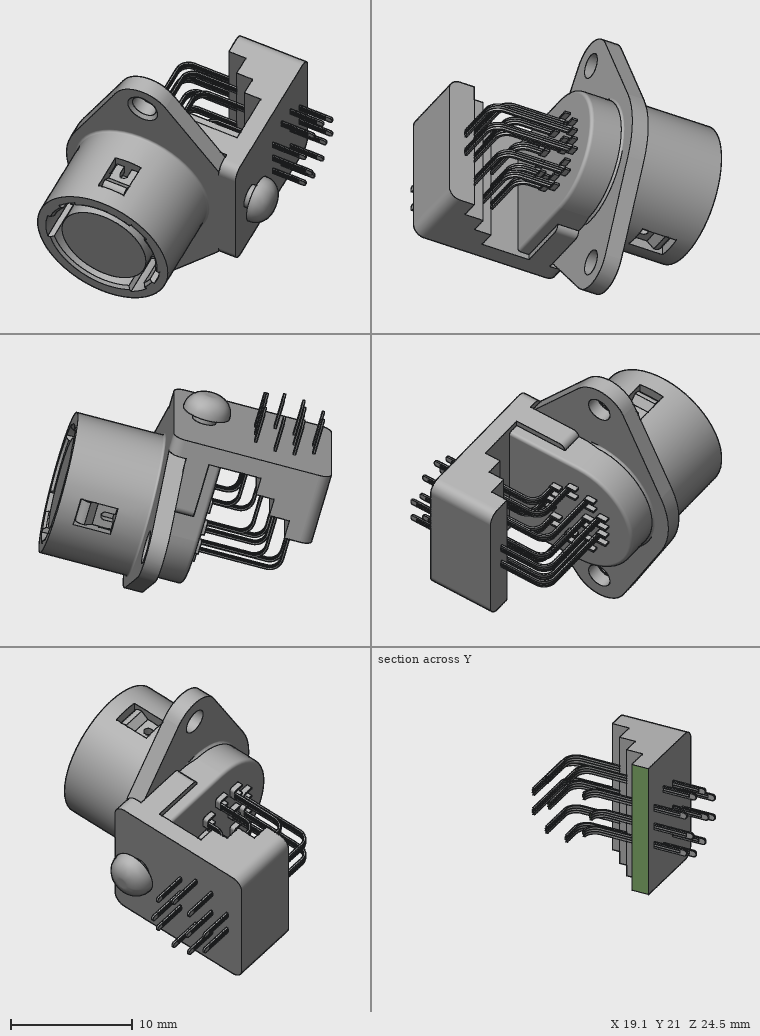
import cadquery as cq
import math


FLANGE_THICKNESS = 1.5
FLANGE_SIDE_RADIUS = 7.0
FLANGE_HALF_HEIGHT = 12.25
LOBE_RADIUS = 2.75
LOBE_CENTER_Z = FLANGE_HALF_HEIGHT - LOBE_RADIUS
MOUNT_HOLE_Z = 10.0
MOUNT_HOLE_RADIUS = 1.08
COUNTERSINK_RADIUS = 1.37

SHELL_RADIUS = 5.98
SHELL_LENGTH = 7.5
ROOT_FILLET = 0.2
BORE_RADIUS = 5.0
LIP_RADIUS = 4.75
LIP_CHAMFER = BORE_RADIUS - LIP_RADIUS
LIP_LENGTH = 3.8
PLUG_RADIUS = 3.85
PLUG_RECESS = 0.25

KEYWAY_RADIUS = 5.22
DIAGONAL_KEYWAY_WIDTH = 1.81
DIAGONAL_KEYWAY_ANGLES = (50, 130, -50)
SIDE_KEYWAY_WIDTH = 1.72
SIDE_KEYWAY_OFFSET = -1.3
MAIN_KEYWAY_WIDTH = 2.75

WINDOW_WIDTH = 2.33
WINDOW_FRONT_Y = -5.9
WINDOW_BACK_Y = -2.72
BORE_FLOOR_Y = WINDOW_BACK_Y
TONGUE_WIDTH = 2.0
TONGUE_FRONT_Y = -5.78
TONGUE_INNER_Z = 4.3
TONGUE_OUTER_Z = 5.12
RIDGE_TOP_Z = 5.68
RIDGE_TOP_Y = -5.0
RIDGE_BACK_Y = -4.34
TONGUE_SLOT_WIDTH = 0.69
TONGUE_SLOT_END_Y = -3.85

BODY_RADIUS = 5.5
BODY_BACK_Y = 4.5
BODY_BACK_FILLET = 0.3

BRACKET_HALF_HEIGHT = 6.0
BRACKET_INNER_X = 6.95
BRACKET_OUTER_X = 8.5
BRACKET_BACK_Y = 13.5
BRACKET_CORNER_RADIUS = 1.0
STEPS = ((5.46, 7.9), (4.0, 9.43), (2.43, 11.15))
FLANGE_CORNER_Z = 5.45
ARM_START_X = 2.05
ARM_BACK_Y = 3.45
ARM_CORNER_RADIUS = 0.6

SCREW_Y = 2.6
SCREW_SHANK_RADIUS = 1.0
SCREW_HEAD_RADIUS = 1.98
SCREW_HEAD_X = 9.2
SCREW_HEAD_HEIGHT = 1.55
SCREW_DOME_RADIUS = 1.47

CONTACT_CIRCLE_RADIUS = 2.75
CONTACT_COUNT = 9
ROW_BY_STEP = (0, 0, 1, 2, 3)
CENTER_CONTACT_X = -1.13
CENTER_CONTACT_ROW = 2
PIN_OFFSET_X = 0.4
ROW_COUNT = 4
FIRST_ROW_Y = 6.98
LAST_ROW_Y = 11.95
ROW_PITCH = (LAST_ROW_Y - FIRST_ROW_Y) / (ROW_COUNT - 1)
PIN_WIDTH = 0.65
TAIL_WIDTH = 0.55
PIN_THICKNESS = 0.17
PIN_BEND_RADIUS = 1.05
TAIL_CORNER_RADIUS = 0.22
RIB_WIDTH = 0.22
RIB_HEIGHT = 0.05
RIB_END_GAP = 0.61
TAIL_END_X = 11.55
CENTER_TAIL_END_X = 11.8
LONG_TAIL_END_X = 12.15
CUP_LENGTH = 1.03
CUP_WIDTH = 1.15
CUP_HEIGHT = 0.5
CUP_WALL = 0.17
CUP_CORNER_RADIUS = 0.25


def disc(radius, y_start, y_end, z=0):
    """Cylinder along Y between two y positions."""
    base = cq.Workplane("XZ", origin=(0, y_start, z))
    return base.circle(radius).extrude(y_start - y_end)


def cone(start_radius, end_radius, y_start, length, z=0):
    """Truncated cone along +Y."""
    start = cq.Vector(0, y_start, z)
    solid = cq.Solid.makeCone(start_radius, end_radius, length, start, cq.Vector(0, 1, 0))
    return cq.Workplane(solid)


def block(x_range, y_range, z_range):
    """Box spanning the given ranges."""
    size = [high - low for low, high in (x_range, y_range, z_range)]
    corner = (x_range[0], y_range[0], z_range[0])
    return cq.Workplane("XY").box(*size, centered=False).translate(corner)


def tangent_points():
    """Upper tangent points: side arc and lobe on -X, then lobe on +X."""
    normal_z = (FLANGE_SIDE_RADIUS - LOBE_RADIUS) / LOBE_CENTER_Z
    normal_x = math.sqrt(1 - normal_z ** 2)
    side = (-FLANGE_SIDE_RADIUS * normal_x, FLANGE_SIDE_RADIUS * normal_z)
    lobe_left = (-LOBE_RADIUS * normal_x, LOBE_CENTER_Z + LOBE_RADIUS * normal_z)

    drop = FLANGE_CORNER_Z - LOBE_CENTER_Z
    distance = math.hypot(BRACKET_INNER_X, drop)
    angle = math.atan2(drop, BRACKET_INNER_X) + math.acos(LOBE_RADIUS / distance)
    lobe_right = (LOBE_RADIUS * math.cos(angle), LOBE_CENTER_Z + LOBE_RADIUS * math.sin(angle))
    return side, lobe_left, lobe_right


def mirrored(point):
    """Point reflected across z = 0."""
    return (point[0], -point[1])


def make_flange():
    side, lobe_left, lobe_right = tangent_points()
    corner = (BRACKET_INNER_X, FLANGE_CORNER_Z)
    outline = (
        cq.Workplane("XZ")
        .moveTo(*side)
        .lineTo(*lobe_left)
        .threePointArc((0, FLANGE_HALF_HEIGHT), lobe_right)
        .lineTo(*corner)
        .lineTo(*mirrored(corner))
        .lineTo(*mirrored(lobe_right))
        .threePointArc((0, -FLANGE_HALF_HEIGHT), mirrored(lobe_left))
        .lineTo(*mirrored(side))
        .threePointArc((-FLANGE_SIDE_RADIUS, 0), side)
        .close()
    )
    return outline.extrude(-FLANGE_THICKNESS)


def drill_mount_holes(part):
    depth = COUNTERSINK_RADIUS - MOUNT_HOLE_RADIUS
    for z in (MOUNT_HOLE_Z, -MOUNT_HOLE_Z):
        hole = disc(MOUNT_HOLE_RADIUS, 0, FLANGE_THICKNESS, z)
        part = part.cut(hole).cut(cone(COUNTERSINK_RADIUS, MOUNT_HOLE_RADIUS, 0, depth, z))
    return part


def make_rear_body():
    """D-shaped body: round on -X, straight towards the bracket on +X."""
    body = (
        cq.Workplane("XZ", origin=(0, FLANGE_THICKNESS, 0))
        .moveTo(BRACKET_INNER_X, BODY_RADIUS)
        .lineTo(0, BODY_RADIUS)
        .threePointArc((-BODY_RADIUS, 0), (0, -BODY_RADIUS))
        .lineTo(BRACKET_INNER_X, -BODY_RADIUS)
        .close()
        .extrude(FLANGE_THICKNESS - BODY_BACK_Y)
    )
    return body.faces(">Y").edges("not >X").fillet(BODY_BACK_FILLET)


def root_ring(radius, face_y, direction):
    """Concave fillet ring where a cylinder along Y meets a flange face."""
    return (
        cq.Workplane("XY")
        .moveTo(radius - ROOT_FILLET, face_y)
        .lineTo(radius + ROOT_FILLET, face_y)
        .radiusArc((radius, face_y + direction * ROOT_FILLET), direction * ROOT_FILLET)
        .lineTo(radius - ROOT_FILLET, face_y + direction * ROOT_FILLET)
        .close()
        .revolve(360, (0, 0, 0), (0, 1, 0))
    )


def keyway(angle, width, y_back, offset=0):
    """Straight-sided keyway with a round bottom, cut from the shell front."""
    slot = block(
        (0, SHELL_RADIUS), (-SHELL_LENGTH, y_back), (offset - width / 2, offset + width / 2)
    ).rotate((0, 0, 0), (0, 1, 0), -angle)
    return slot.intersect(disc(KEYWAY_RADIUS, -SHELL_LENGTH, y_back))


def bore_shell(part):
    lip_back_y = LIP_LENGTH - SHELL_LENGTH
    part = part.cut(disc(BORE_RADIUS, lip_back_y, BORE_FLOOR_Y))
    lip_bore = disc(LIP_RADIUS, -SHELL_LENGTH, lip_back_y)
    mouth = cone(BORE_RADIUS, LIP_RADIUS, -SHELL_LENGTH, LIP_CHAMFER)
    part = part.cut(lip_bore).cut(mouth)
    for angle in DIAGONAL_KEYWAY_ANGLES:
        part = part.cut(keyway(angle, DIAGONAL_KEYWAY_WIDTH, lip_back_y))
    part = part.cut(keyway(0, SIDE_KEYWAY_WIDTH, lip_back_y, SIDE_KEYWAY_OFFSET))
    part = part.cut(keyway(180, MAIN_KEYWAY_WIDTH, BORE_FLOOR_Y))
    return part.union(disc(PLUG_RADIUS, PLUG_RECESS - SHELL_LENGTH, BORE_FLOOR_Y))


def make_latch():
    """Spring tongue with a raised ridge and a round-ended slot at its root."""
    tongue = (
        cq.Workplane("YZ", origin=(-TONGUE_WIDTH / 2, 0, 0))
        .moveTo(BORE_FLOOR_Y, TONGUE_INNER_Z)
        .lineTo(BORE_FLOOR_Y, TONGUE_OUTER_Z)
        .lineTo(RIDGE_BACK_Y, TONGUE_OUTER_Z)
        .lineTo(RIDGE_TOP_Y, RIDGE_TOP_Z)
        .radiusArc((TONGUE_FRONT_Y, TONGUE_OUTER_Z), -(RIDGE_TOP_Y - TONGUE_FRONT_Y))
        .radiusArc(
            (TONGUE_FRONT_Y + TONGUE_OUTER_Z - TONGUE_INNER_Z, TONGUE_INNER_Z),
            TONGUE_INNER_Z - TONGUE_OUTER_Z,
        )
        .close()
        .extrude(TONGUE_WIDTH)
    )
    slot_end_center_y = TONGUE_SLOT_END_Y + TONGUE_SLOT_WIDTH / 2
    slot_round = (
        cq.Workplane("XY", origin=(0, slot_end_center_y, TONGUE_INNER_Z))
        .circle(TONGUE_SLOT_WIDTH / 2)
        .extrude(TONGUE_OUTER_Z - TONGUE_INNER_Z)
    )
    slot_straight = block(
        (-TONGUE_SLOT_WIDTH / 2, TONGUE_SLOT_WIDTH / 2),
        (slot_end_center_y, BORE_FLOOR_Y),
        (TONGUE_INNER_Z, TONGUE_OUTER_Z),
    )
    return tongue.cut(slot_round).cut(slot_straight)


def add_latches(part):
    window = block(
        (-WINDOW_WIDTH / 2, WINDOW_WIDTH / 2),
        (WINDOW_FRONT_Y, WINDOW_BACK_Y),
        (TONGUE_INNER_Z, SHELL_RADIUS),
    )
    latch = make_latch()
    for turn in (0, 180):
        part = part.cut(window.rotate((0, 0, 0), (0, 1, 0), turn))
        part = part.union(latch.rotate((0, 0, 0), (0, 1, 0), turn))
    return part


def make_bracket():
    full_height = (-BRACKET_HALF_HEIGHT, BRACKET_HALF_HEIGHT)
    bracket = block((BRACKET_INNER_X, BRACKET_OUTER_X), (0, BRACKET_BACK_Y), full_height)
    for face_x, start_y in STEPS:
        bracket = bracket.union(block((face_x, BRACKET_OUTER_X), (start_y, BRACKET_BACK_Y), full_height))
    bracket = bracket.edges("|X and (>Y or <Y)").edges(">Z or <Z").fillet(BRACKET_CORNER_RADIUS)
    arm = block((ARM_START_X, BRACKET_OUTER_X), (FLANGE_THICKNESS, ARM_BACK_Y), full_height)
    arm = arm.edges("|Y and <X").fillet(ARM_CORNER_RADIUS)
    return bracket.union(arm)


def make_screw():
    shank = (
        cq.Workplane("YZ", origin=(BRACKET_OUTER_X, SCREW_Y, 0))
        .circle(SCREW_SHANK_RADIUS)
        .extrude(SCREW_HEAD_X - BRACKET_OUTER_X)
    )
    head = (
        cq.Workplane("YZ", origin=(SCREW_HEAD_X, SCREW_Y, 0))
        .circle(SCREW_HEAD_RADIUS)
        .extrude(SCREW_HEAD_HEIGHT)
        .faces(">X")
        .edges()
        .fillet(SCREW_DOME_RADIUS)
    )
    return shank.union(head)


def bent_strip(leg_x, row_y, end_x, z, width, inner, outer):
    """L-shaped strip; inner and outer are offsets from the middle of the pin's thickness."""
    bend_x = leg_x + PIN_BEND_RADIUS
    bend_y = row_y - PIN_BEND_RADIUS
    inner_radius = PIN_BEND_RADIUS + inner
    outer_radius = PIN_BEND_RADIUS + outer
    return (
        cq.Workplane("XY", origin=(0, 0, z - width / 2))
        .moveTo(leg_x - outer, BODY_BACK_Y)
        .lineTo(leg_x - outer, bend_y)
        .radiusArc((bend_x, row_y + outer), outer_radius)
        .lineTo(end_x, row_y + outer)
        .lineTo(end_x, row_y + inner)
        .lineTo(bend_x, row_y + inner)
        .radiusArc((leg_x - inner, bend_y), -inner_radius)
        .lineTo(leg_x - inner, BODY_BACK_Y)
        .close()
        .extrude(width)
    )


def make_cup(end_x, z):
    """Short U-shaped channel at the root of a pin, open towards -X."""
    y_range = (BODY_BACK_Y, BODY_BACK_Y + CUP_HEIGHT)
    start_x = end_x - CUP_LENGTH
    half_width = CUP_WIDTH / 2
    half_channel = half_width - CUP_WALL
    outside = block((start_x, end_x), y_range, (z - half_width, z + half_width))
    outside = outside.edges("|Y and >X").fillet(CUP_CORNER_RADIUS)
    channel = block((start_x, end_x - CUP_WALL), y_range, (z - half_channel, z + half_channel))
    return outside.cut(channel)


def make_pin(contact_x, z, row, tail_end_x):
    """Angled pin with an outer rib, an inner groove and a cup at its root."""
    leg_x = contact_x + PIN_OFFSET_X
    row_y = FIRST_ROW_Y + row * ROW_PITCH
    half = PIN_THICKNESS / 2
    emboss_end_x = tail_end_x - RIB_END_GAP

    strip = bent_strip(leg_x, row_y, BRACKET_OUTER_X, z, PIN_WIDTH, -half, half)
    tail = block(
        (BRACKET_INNER_X, tail_end_x),
        (row_y - half, row_y + half),
        (z - TAIL_WIDTH / 2, z + TAIL_WIDTH / 2),
    ).edges("|Y and >X").fillet(TAIL_CORNER_RADIUS)
    rib = bent_strip(leg_x, row_y, emboss_end_x, z, RIB_WIDTH, half, half + RIB_HEIGHT)
    groove = bent_strip(leg_x, row_y, emboss_end_x, z, RIB_WIDTH, -half, RIB_HEIGHT - half)

    return strip.union(tail).cut(groove).union(rib).union(make_cup(leg_x + half, z))


def add_pins(part):
    for index in range(CONTACT_COUNT):
        angle = 2 * math.pi * index / CONTACT_COUNT
        step = min(index, CONTACT_COUNT - index)
        tail_end_x = LONG_TAIL_END_X if index == 0 else TAIL_END_X
        x = CONTACT_CIRCLE_RADIUS * math.cos(angle)
        z = CONTACT_CIRCLE_RADIUS * math.sin(angle)
        part = part.union(make_pin(x, z, ROW_BY_STEP[step], tail_end_x))
    return part.union(make_pin(CENTER_CONTACT_X, 0, CENTER_CONTACT_ROW, CENTER_TAIL_END_X))


connector = make_flange().union(disc(SHELL_RADIUS, -SHELL_LENGTH, 0))
connector = connector.union(root_ring(SHELL_RADIUS, 0, -1))
connector = connector.union(make_rear_body())
connector = connector.union(root_ring(BODY_RADIUS, FLANGE_THICKNESS, 1))
connector = drill_mount_holes(connector)
connector = bore_shell(connector)
connector = add_latches(connector)
connector = connector.union(make_bracket()).union(make_screw())
result = add_pins(connector)